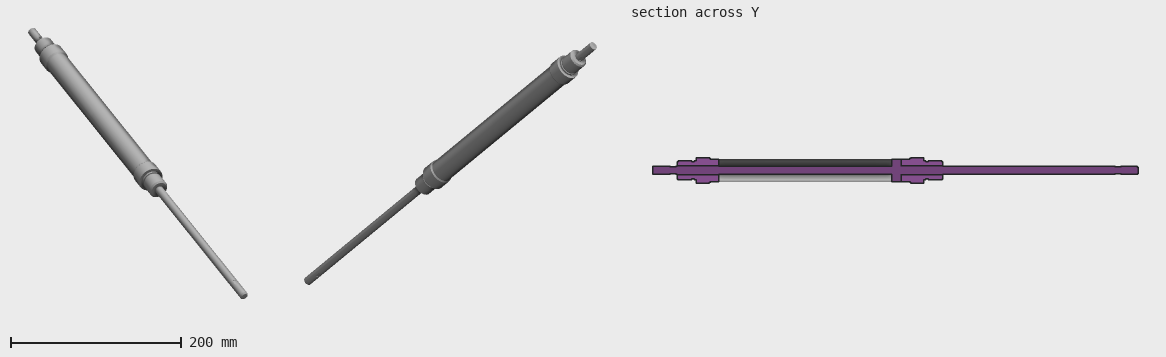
import cadquery as cq

ROD_LENGTH = 568.0
ROD_RADIUS = 5.0
ROD_CHAMFER = 1.5
FLAT_LENGTH = 7.0
FLAT_FROM_END = 20.5
FLAT_DEPTH = 0.5
PISTON_LENGTH = 11.0

HOUSING_START = 28.5
HOUSING_LENGTH = 311.0
HOUSING_MIDDLE = HOUSING_START + HOUSING_LENGTH / 2
TUBE_RADIUS = 13.5
COLLAR_RADIUS = 30.0 / 2
NOSE_RADIUS = 11.5
NECK_RADIUS = 10.0
NOSE_LENGTH = 17.5
NOSE_CHAMFER = 1.5
NECK_LENGTH = 2.0
SHOULDER_LENGTH = 2.0
COLLAR_LENGTH = 15.5
COLLAR_TAPER = 1.5
CAVITY_RADIUS = 25.5 / 2
CAVITY_START = 78.0
CAVITY_END = 2 * HOUSING_MIDDLE - CAVITY_START


def make_housing():
    """Revolve one half of the housing about X, then mirror it to the other end."""
    nose_end = HOUSING_START + NOSE_LENGTH
    neck_end = nose_end + NECK_LENGTH
    collar_start = neck_end + SHOULDER_LENGTH
    collar_end = collar_start + COLLAR_LENGTH
    half = (
        cq.Workplane("XZ")
        .moveTo(HOUSING_START, ROD_RADIUS)
        .lineTo(HOUSING_START, NOSE_RADIUS - NOSE_CHAMFER)
        .lineTo(HOUSING_START + NOSE_CHAMFER, NOSE_RADIUS)
        .lineTo(nose_end, NOSE_RADIUS)
        .lineTo(nose_end, NECK_RADIUS)
        .lineTo(neck_end, NECK_RADIUS)
        .lineTo(neck_end, NOSE_RADIUS)
        .lineTo(collar_start, NOSE_RADIUS)
        .lineTo(collar_start, COLLAR_RADIUS)
        .lineTo(collar_end, COLLAR_RADIUS)
        .lineTo(collar_end + COLLAR_TAPER, TUBE_RADIUS)
        .lineTo(HOUSING_MIDDLE, TUBE_RADIUS)
        .lineTo(HOUSING_MIDDLE, CAVITY_RADIUS)
        .lineTo(CAVITY_START, CAVITY_RADIUS)
        .lineTo(CAVITY_START, ROD_RADIUS)
        .close()
        .revolve(360, (0, 0, 0), (1, 0, 0))
    )
    other_half = half.mirror("YZ", (HOUSING_MIDDLE, 0, 0))
    return half.union(other_half)


def make_rod():
    """Rod with its piston, one chamfered end and a pair of spanner flats near each end."""
    rod = cq.Workplane("YZ").circle(ROD_RADIUS).extrude(ROD_LENGTH)
    rod = rod.faces(">X").chamfer(ROD_CHAMFER)
    flat_centre = FLAT_FROM_END + FLAT_LENGTH / 2
    for x in (flat_centre, ROD_LENGTH - flat_centre):
        for side in (1, -1):
            z = side * (ROD_RADIUS + ROD_RADIUS / 2 - FLAT_DEPTH)
            cutter = cq.Workplane("XY").box(FLAT_LENGTH, 2 * ROD_RADIUS, ROD_RADIUS)
            rod = rod.cut(cutter.translate((x, 0, z)))
    piston = cq.Workplane("YZ").circle(CAVITY_RADIUS).extrude(PISTON_LENGTH)
    return rod.union(piston.translate((CAVITY_END - PISTON_LENGTH, 0, 0)))


housing = make_housing()
rod = make_rod()

result = cq.Compound.makeCompound([housing.val(), rod.val()])